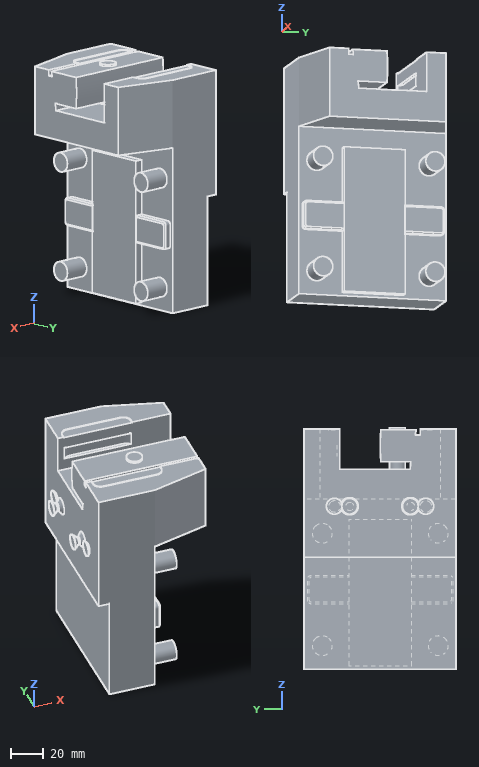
import cadquery as cq

total_height = 150.7
pin_proud = 0.8
height = total_height - pin_proud
width = 95.0
depth = 75.0
column_depth = depth / 2
foot_setback = 7.2
foot_height = height - 80.0
shelf_height = 43.7
taper = 10.0

slot_width = 50.0
slot_depth = 25.0
slot_floor = height - slot_depth
jaw_drop = 0.5
jaw_crown = 0.5
jaw_side_top = -22.6
jaw_side_bottom = -22.2
jaw_bottom = height - 20.5
groove_depth = 3.8
neck_top_y = -19.1
neck_bottom_y = -18.7
jaw_pin_diameter = 10.1
jaw_pin_y = -10.9

recess_start = 3.8
recess_end = 49.5
recess_reach = 32.3
recess_radius = 5.0
recess_sink = 0.5
pocket_inset = 0.6
pocket_start = recess_start + pocket_inset
pocket_end = recess_end - pocket_inset
pocket_top = height - 8.5
pocket_height = 8.3
pocket_depth = 2.1
pocket_end_run = 5.0

fastener_z = height - 48.2
head_radius = 5.0
rim = 0.3
knob_y = 19.0
knob_length = 6.6
knob_base_radius = 5.5
knob_neck_radius = 2.5
knob_neck_start = 2.4
knob_neck_end = 3.5
plug_y = 28.5
plug_length = 1.5
plug_base_radius = 3.6

back_pin_diameter = 12.4
back_pin_length = 16.6
back_pin_y = 36.2
back_pin_heights = (height - 65.0, height - 135.0)
rail_width = 39.2
rail_top = height - 56.2
rail_bottom = height - 147.9
rail_length = 5.0
key_span = 90.7
key_height = 17.8
key_z = height - 100.1
key_length = 4.8
key_corner = 2.4
key_chamfer = 1.0


def box(x0, x1, y0, y1, z0, z1):
    """Box between opposite corner coordinates."""
    return cq.Workplane("XY").box(x1 - x0, y1 - y0, z1 - z0, centered=False).translate((x0, y0, z0))


def make_back_pin(y, z):
    """Mounting pin standing on the back face."""
    base = cq.Workplane("YZ", origin=(column_depth, y, z))
    return base.circle(back_pin_diameter / 2).extrude(back_pin_length)


def make_housing():
    """Stepped column with a tapered overhang behind its head."""
    side = [
        (0, height),
        (depth, height),
        (depth, height - shelf_height),
        (column_depth, height - shelf_height),
        (column_depth, 0),
        (foot_setback, 0),
        (foot_setback, foot_height),
        (0, foot_height),
    ]
    plan = [
        (0, -width / 2),
        (column_depth, -width / 2),
        (depth, -width / 2 + taper),
        (depth, width / 2 - taper),
        (column_depth, width / 2),
        (0, width / 2),
    ]
    profile = cq.Workplane("XZ").polyline(side).close().extrude(width / 2, both=True)
    return profile.intersect(cq.Workplane("XY").polyline(plan).close().extrude(height))


def make_slot():
    """Space around the jaw: main slot, gap under the jaw and groove beside it."""
    jaw_top = height - jaw_drop
    groove_floor = height - groove_depth
    section = (
        cq.Workplane("YZ")
        .moveTo(slot_width / 2, height)
        .lineTo(slot_width / 2, slot_floor)
        .lineTo(neck_bottom_y, slot_floor)
        .lineTo(neck_top_y, jaw_bottom)
        .lineTo(-jaw_crown, jaw_bottom)
        .threePointArc((0, (jaw_bottom + jaw_top) / 2), (-jaw_crown, jaw_top))
        .lineTo(jaw_side_top, jaw_top)
        .lineTo(jaw_side_bottom, groove_floor)
        .lineTo(-slot_width / 2, groove_floor)
        .lineTo(-slot_width / 2, height)
        .close()
    )
    return section.extrude(depth)


def make_jaw_pin():
    """Upright pin from the slot floor through the jaw."""
    base = cq.Workplane("XY", origin=(column_depth, jaw_pin_y, slot_floor))
    return base.circle(jaw_pin_diameter / 2).extrude(total_height - slot_floor)


def make_top_recess():
    """Shallow round-cornered recess running across both sides of the slot."""
    block = box(recess_start, recess_end, -recess_reach, recess_reach, height - recess_sink, height)
    block = block.edges("|Z").fillet(recess_radius)
    over_jaw = box(0, depth, -slot_width / 2, slot_width / 2, height - recess_sink, height)
    return block.cut(over_jaw)


def make_wall_pocket():
    """Pocket in the +Y slot wall; its end arcs are tangent to the back."""
    wall = slot_width / 2
    back = wall + pocket_depth
    radius = (pocket_end_run**2 + pocket_depth**2) / (2 * pocket_depth)
    outline = (
        cq.Workplane("XY", origin=(0, 0, pocket_top - pocket_height))
        .moveTo(pocket_start, wall)
        .lineTo(pocket_end, wall)
        .radiusArc((pocket_end - pocket_end_run, back), -radius)
        .lineTo(pocket_start + pocket_end_run, back)
        .radiusArc((pocket_start, wall), -radius)
        .close()
    )
    return outline.extrude(pocket_height)


def turn(half_section, y):
    """Revolve (x, radius) points about an axis along X at the fastener height."""
    turned = cq.Workplane("XY").polyline(half_section).close().revolve(360, (0, 0), (1, 0))
    return turned.translate((0, y, fastener_z))


def make_knob(y):
    """Waisted knob standing on the front face."""
    half_section = [
        (0, 0),
        (0, knob_base_radius),
        (-knob_neck_start, knob_neck_radius),
        (-knob_neck_end, knob_neck_radius),
        (-knob_length + rim, head_radius),
        (-knob_length, head_radius),
        (-knob_length, 0),
    ]
    return turn(half_section, y)


def make_plug(y):
    """Low head that flares outward from the front face."""
    half_section = [
        (0, 0),
        (0, plug_base_radius),
        (-plug_length + rim, head_radius),
        (-plug_length, head_radius),
        (-plug_length, 0),
    ]
    return turn(half_section, y)


def make_key():
    """Horizontal round-cornered key with a chamfered outer rim."""
    key = box(
        column_depth, column_depth + key_length,
        -key_span / 2, key_span / 2,
        key_z - key_height / 2, key_z + key_height / 2,
    )
    return key.edges("|X").fillet(key_corner).faces(">X").chamfer(key_chamfer)


result = make_housing().cut(make_slot()).cut(make_top_recess()).cut(make_wall_pocket())
result = result.union(make_jaw_pin())

for side in (-1, 1):
    result = result.union(make_knob(side * knob_y))
    result = result.union(make_plug(side * plug_y))
    for pin_z in back_pin_heights:
        result = result.union(make_back_pin(side * back_pin_y, pin_z))

rail = box(
    column_depth, column_depth + rail_length,
    -rail_width / 2, rail_width / 2,
    rail_bottom, rail_top,
)
result = result.union(rail).union(make_key())